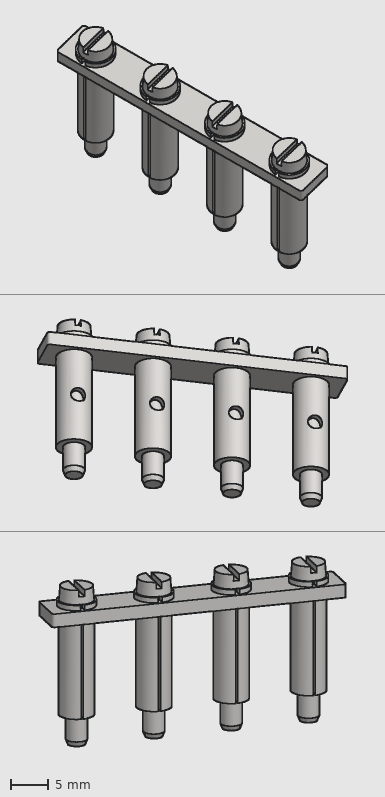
import cadquery as cq

plate_length = 41.8
plate_width = 6.0
plate_thickness = 1.9
plate_corner_radius = 0.4

screw_count = 4
screw_pitch = 11.0

washer_diameter = 5.4
washer_thickness = 0.75
washer_gap = 0.6

head_base_diameter = 4.8
head_top_diameter = 4.5
head_height = 2.0
head_slot_width = 0.8
head_slot_depth = 0.9

overall_height = 22.5
shank_diameter = 3.0
tip_chamfer_height = 0.75
tip_chamfer_inset = 0.3

sleeve_diameter = 4.9
sleeve_length = 13.6
sleeve_slit_width = 0.3
sleeve_hole_diameter = 2.0

plate_top = plate_thickness
washer_top = plate_top + washer_thickness
head_top = washer_top + head_height
shank_bottom = head_top - overall_height


def make_plate():
    plate = cq.Workplane("XY").box(
        plate_length, plate_width, plate_thickness, centered=(True, True, False)
    )
    return plate.edges("|Z").fillet(plate_corner_radius)


def cylinder(diameter, bottom, height):
    return cq.Workplane("XY").workplane(offset=bottom).circle(diameter / 2).extrude(height)


def front_slit(width, outer_diameter, bottom, height):
    """Radial slot on the -Y side, running from the axis out past the outer diameter."""
    slit = cq.Workplane("XY").box(width, outer_diameter, height, centered=(True, True, False))
    return slit.translate((0, -outer_diameter / 2, bottom))


def make_washer():
    washer = cylinder(washer_diameter, plate_top, washer_thickness)
    return washer.cut(front_slit(washer_gap, washer_diameter, plate_top, washer_thickness))


def make_sleeve():
    sleeve = cylinder(sleeve_diameter, -sleeve_length, sleeve_length)
    sleeve = sleeve.cut(front_slit(sleeve_slit_width, sleeve_diameter, -sleeve_length, sleeve_length))
    side_hole = (
        cq.Workplane("XZ", origin=(0, 0, -sleeve_length / 2))
        .circle(sleeve_hole_diameter / 2)
        .extrude(-sleeve_diameter)
    )
    return sleeve.cut(side_hole)


def make_head():
    head = (
        cq.Workplane("XY")
        .workplane(offset=washer_top)
        .circle(head_base_diameter / 2)
        .workplane(offset=head_height)
        .circle(head_top_diameter / 2)
        .loft()
    )
    slot = cq.Workplane("XY").box(
        head_slot_width, head_base_diameter, head_slot_depth, centered=(True, True, False)
    )
    return head.cut(slot.translate((0, 0, head_top - head_slot_depth)))


def make_shank():
    shank = cylinder(shank_diameter, shank_bottom, washer_top - shank_bottom)
    return shank.faces("<Z").chamfer(tip_chamfer_height, tip_chamfer_inset)


def make_screw_assembly():
    return make_washer().union(make_sleeve()).union(make_head()).union(make_shank())


result = make_plate()
screw_assembly = make_screw_assembly()
first_screw_x = -screw_pitch * (screw_count - 1) / 2
for index in range(screw_count):
    result = result.union(screw_assembly.translate((first_screw_x + index * screw_pitch, 0, 0)))